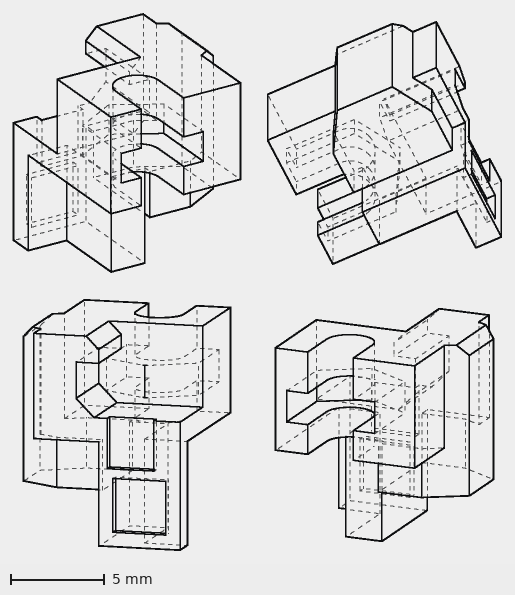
import cadquery as cq
import math

width = 9.95
depth = 9.25
height = 11.35

body_depth = 8.09
body_bottom = 5.64

leg_depth = 4.51
plate_thickness = 1.51
block_right = 6.06
block_front = 2.4

key_center_x = 3.67
key_tip_half_width = 1.62
key_base_half_width = 2.9
key_taper_angle = 30.0
key_bottom = 2.9
key_chamfer = 0.6

notch_width = 4.46
notch_floor = 6.95
notch_back = 5.75
notch_bevel = 1.0
lip_front = leg_depth
lip_bottom = 9.91
lip_bevel = 0.69

slot_center_x = 7.41
slot_center_y = 3.21
slot_radius = 1.33
nut_tip_breakthrough = 0.001
nut_corner_radius = slot_center_x - notch_width + nut_tip_breakthrough
nut_bottom = 7.3
nut_top = 9.05

recess_depth = 0.5
label_y = 1.45
label_width = 2.57
label_bottom = 4.22
logo_y = 0.8
logo_size = 2.92
logo_bottom = 0.78


def box(x_range, y_range, z_range):
    """Axis-aligned box spanning the given (low, high) ranges."""
    spans = [high - low for low, high in (x_range, y_range, z_range)]
    corner = (x_range[0], y_range[0], z_range[0])
    return cq.Workplane("XY").box(*spans, centered=False).translate(corner)


def key():
    """Key with tapered flanks and a chamfered top back edge, running down below the body."""
    taper_run = key_base_half_width - key_tip_half_width
    taper_start = depth - taper_run / math.tan(math.radians(key_taper_angle))
    half_outline = [
        (key_base_half_width, leg_depth),
        (key_base_half_width, taper_start),
        (key_tip_half_width, depth),
    ]
    right_side = [(key_center_x + x, y) for x, y in half_outline]
    left_side = [(key_center_x - x, y) for x, y in reversed(half_outline)]
    blank = (
        cq.Workplane("XY")
        .workplane(offset=key_bottom)
        .polyline(right_side + left_side)
        .close()
        .extrude(height - key_bottom)
    )
    return blank.faces(">Y").edges(">Z").chamfer(key_chamfer)


def notch():
    """Corner notch that reaches back under a bevelled lip."""
    return (
        cq.Workplane("YZ")
        .moveTo(0, notch_floor)
        .lineTo(notch_back - notch_bevel, notch_floor)
        .lineTo(notch_back, notch_floor + notch_bevel)
        .lineTo(notch_back, lip_bottom)
        .lineTo(lip_front, lip_bottom)
        .lineTo(lip_front, height - lip_bevel)
        .lineTo(lip_front + lip_bevel, height)
        .lineTo(0, height)
        .close()
        .extrude(notch_width)
    )


def screw_slot():
    """Round-ended slot through the full body height."""
    round_end = (
        cq.Workplane("XY")
        .workplane(offset=body_bottom)
        .center(slot_center_x, slot_center_y)
        .circle(slot_radius)
        .extrude(height - body_bottom)
    )
    straight = box(
        (slot_center_x, width),
        (slot_center_y - slot_radius, slot_center_y + slot_radius),
        (body_bottom, height),
    )
    return round_end.union(straight)


def nut_pocket():
    """Slide-in pocket whose inner end is half a hexagon; its corner just breaks into the notch."""
    hexagon_half_angle = math.radians(30)
    half_flats = nut_corner_radius * math.cos(hexagon_half_angle)
    flat_start_x = slot_center_x - nut_corner_radius * math.sin(hexagon_half_angle)
    outline = [
        (slot_center_x - nut_corner_radius, slot_center_y),
        (flat_start_x, slot_center_y + half_flats),
        (width, slot_center_y + half_flats),
        (width, slot_center_y - half_flats),
        (flat_start_x, slot_center_y - half_flats),
    ]
    return (
        cq.Workplane("XY")
        .workplane(offset=nut_bottom)
        .polyline(outline)
        .close()
        .extrude(nut_top - nut_bottom)
    )


body = box((0, width), (0, body_depth), (body_bottom, height))
plate = box((0, plate_thickness), (0, leg_depth), (0, body_bottom))
block = box((plate_thickness, block_right), (block_front, leg_depth), (0, body_bottom))

label_recess = box((0, recess_depth), (label_y, label_y + label_width), (label_bottom, notch_floor))
logo_recess = box((0, recess_depth), (logo_y, logo_y + logo_size), (logo_bottom, logo_bottom + logo_size))

result = body.union(plate).union(block).union(key())
for cutter in (notch(), screw_slot(), nut_pocket(), label_recess, logo_recess):
    result = result.cut(cutter)